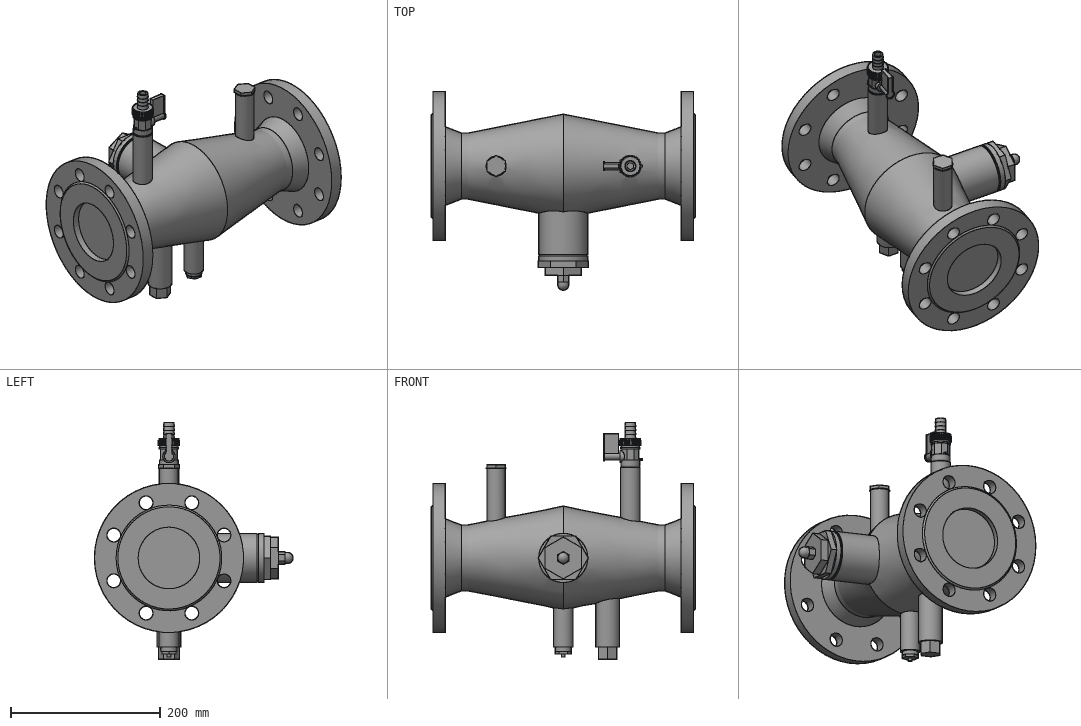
import cadquery as cq
import math

hex_half_step = 180 / 6
octagon_half_step = 180 / 8

half_length = 177.0
flange_diameter = 200.0
flange_back = 158.0
raised_face_height = 2.0
raised_face_base_diameter = 141.5
raised_face_diameter = 137.0
neck_diameter = 105.5
pipe_diameter = 89.0
neck_end = 136.5
shell_end = 127.5
shell_diameter = 139.5
bore_diameter = 82.5
bore_depth = 9.2
bolt_count = 8
bolt_circle_diameter = 160.0
bolt_hole_diameter = 18.0

bonnet_diameter = 66.0
bonnet_end = 118.2
bonnet_groove_diameter = 63.5
bonnet_groove_end = 120.5
bonnet_ring_end = 127.5
gland_corners = 67.3
gland_end = 136.0
cover_flats = 48.5
cover_end = 146.5
spindle_diameter = 15.0
spindle_hex_end = 155.5
part_depth = 266.5
spindle_tip = part_depth - flange_diameter / 2

plug_flats = 24.8
sensor_x = -90.0
sensor_diameter = 24.8
sensor_top = 120.0
sensor_washer_diameter = 27.0
sensor_washer_height = 0.7
sensor_plug_top = 125.0

nut_branch_x = 59.5
nut_branch_diameter = 32.2
branch_bottom = -119.5
part_bottom = -136.0

drain_diameter = 26.5
drain_collar_diameter = 22.0
drain_collar_fillet = 1.8
drain_collar_end = -125.3
drain_hex_end = -129.0
drain_pin_diameter = 5.3
drain_pin_end = -132.8

vent_x = 90.0
vent_diameter = 26.5
vent_base = 121.5
vent_foot_diameter = 25.5
vent_foot_fillet = 2.5
vent_body_base = 131.0
vent_body_flats = 22.5
vent_rim_base = 146.2
vent_rim_diameter = 26.2
vent_neck_diameter = 24.8
vent_rim_top = 148.5
knurl_base = 150.8
knurl_top = 160.0
knurl_step = 157.0
knurl_diameter = 29.0
knurl_crown_diameter = 27.3
knurl_count = 24
knurl_groove_width = 1.8
knurl_groove_depth = 1.5
part_height = 317.5
hose_top = part_bottom + part_height
hose_diameter = 15.0
hose_root_diameter = 13.5
hose_barb_count = 4
hose_bore_diameter = 9.0
hose_bore_depth = 7.0
stop_pin_diameter = 2.5
stop_pin_z = 132.0
stop_pin_end = 106.2

lever_axis_z = 136.0
lever_outer_x = 54.0
lever_inner_x = 74.5
lever_top = 166.7
lever_thickness = 5.5
lever_rod_diameter = 10.0
lever_cap_thickness = 1.5
lever_cap_width = 7.8
lever_cap_round_diameter = 12.5
lever_collar_x = 75.8
lever_collar_diameter = 16.5


def cylinder_z(x, diameter, start, end):
    return cq.Workplane("XY", origin=(x, 0, start)).circle(diameter / 2).extrude(end - start)


def cylinder_x(z, diameter, start, end):
    return cq.Workplane("YZ", origin=(start, 0, z)).circle(diameter / 2).extrude(end - start)


def cylinder_y(diameter, start, end):
    """Round bar between two distances along -Y."""
    return cq.Workplane("XZ", origin=(0, -start, 0)).circle(diameter / 2).extrude(end - start)


def corner_width(flats):
    return flats / math.cos(math.pi / 6)


def hexagon_z(x, flats, start, end, turn=0):
    """Hexagonal bar with corners on X, turned about its own axis."""
    bar = cq.Workplane("XY", origin=(0, 0, start)).polygon(6, corner_width(flats)).extrude(end - start)
    return bar.rotate((0, 0, 0), (0, 0, 1), turn).translate((x, 0, 0))


def hexagon_y(corners, start, end, turn=0):
    """Hexagonal bar along -Y with corners on X, turned about Y."""
    bar = cq.Workplane("XZ", origin=(0, -start, 0)).polygon(6, corners).extrude(end - start)
    return bar.rotate((0, 0, 0), (0, 1, 0), turn)


def make_main_run():
    face_step = half_length - raised_face_height
    right_half = [
        (0, shell_diameter / 2),
        (shell_end, pipe_diameter / 2),
        (neck_end, pipe_diameter / 2),
        (flange_back, neck_diameter / 2),
        (flange_back, flange_diameter / 2),
        (face_step, flange_diameter / 2),
        (face_step, raised_face_base_diameter / 2),
        (half_length, raised_face_diameter / 2),
        (half_length, bore_diameter / 2),
        (half_length - bore_depth, bore_diameter / 2),
        (half_length - bore_depth, 0),
    ]
    left_half = [(-x, r) for x, r in reversed(right_half[1:])]
    run = cq.Workplane("XY").polyline(left_half + right_half).close()
    run = run.revolve(360, (0, 0, 0), (1, 0, 0))
    bolt_holes = (
        cq.Workplane("YZ", origin=(-half_length, 0, 0))
        .polarArray(bolt_circle_diameter / 2, 180 / bolt_count, 360, bolt_count)
        .circle(bolt_hole_diameter / 2)
        .extrude(half_length - flange_back)
    )
    return run.cut(bolt_holes).cut(bolt_holes.mirror("YZ"))


def make_spindle():
    tip_centre = spindle_tip - spindle_diameter / 2
    return (
        cylinder_y(bonnet_diameter, 0, bonnet_end)
        .union(cylinder_y(bonnet_groove_diameter, bonnet_end, bonnet_groove_end))
        .union(cylinder_y(bonnet_diameter, bonnet_groove_end, bonnet_ring_end))
        .union(hexagon_y(gland_corners, bonnet_ring_end, gland_end))
        .union(hexagon_y(corner_width(cover_flats), gland_end, cover_end, hex_half_step))
        .union(hexagon_y(corner_width(spindle_diameter), cover_end, spindle_hex_end, hex_half_step))
        .union(cylinder_y(spindle_diameter, spindle_hex_end, tip_centre))
        .union(cq.Workplane("XY").sphere(spindle_diameter / 2).translate((0, -tip_centre, 0)))
    )


def make_sensor_branch():
    return (
        cylinder_z(sensor_x, sensor_diameter, 0, sensor_top)
        .union(cylinder_z(sensor_x, sensor_washer_diameter, sensor_top, sensor_top + sensor_washer_height))
        .union(hexagon_z(sensor_x, plug_flats, sensor_top, sensor_plug_top, hex_half_step))
    )


def make_nut_branch():
    tube = cylinder_z(nut_branch_x, nut_branch_diameter, branch_bottom, 0)
    return tube.union(hexagon_z(nut_branch_x, plug_flats, part_bottom, branch_bottom, hex_half_step))


def make_drain_branch():
    collar = cylinder_z(0, drain_collar_diameter, drain_collar_end, branch_bottom)
    collar = collar.faces(">Z").edges().fillet(drain_collar_fillet)
    hex_flats = drain_collar_diameter * math.cos(math.pi / 6)
    return (
        cylinder_z(0, drain_diameter, branch_bottom, 0)
        .union(collar)
        .union(hexagon_z(0, hex_flats, drain_hex_end, drain_collar_end))
        .union(cylinder_z(0, drain_pin_diameter, drain_pin_end, drain_hex_end))
    )


def make_hose_tail():
    """Barbs that widen downward from the open end, above a blind bore."""
    barb_height = (hose_top - knurl_top) / hose_barb_count
    outline = [(0, knurl_top)]
    for barb in range(hose_barb_count):
        barb_base = knurl_top + barb * barb_height
        outline.append((hose_diameter / 2, barb_base))
        outline.append((hose_root_diameter / 2, barb_base + barb_height))
    outline.append((0, hose_top))
    tail = cq.Workplane("XZ").polyline(outline).close().revolve(360, (0, 0, 0), (0, 1, 0))
    bore = cylinder_z(0, hose_bore_diameter, hose_top - hose_bore_depth, hose_top)
    return tail.cut(bore).translate((vent_x, 0, 0))


def make_knurled_ring():
    height = knurl_top - knurl_base
    ring = cylinder_z(0, knurl_diameter, knurl_base, knurl_step)
    ring = ring.union(cylinder_z(0, knurl_crown_diameter, knurl_step, knurl_top))
    grooves = (
        cq.Workplane("XY", origin=(0, 0, knurl_base))
        .polarArray(knurl_diameter / 2, 0, 360, knurl_count)
        .rect(2 * knurl_groove_depth, knurl_groove_width)
        .extrude(height)
    )
    return ring.cut(grooves).translate((vent_x, 0, 0))


def make_vent_body():
    body_corners = vent_body_flats / math.cos(math.pi / 8)
    body = cq.Workplane("XY", origin=(0, 0, vent_body_base)).polygon(8, body_corners)
    body = body.extrude(vent_rim_base - vent_body_base).rotate((0, 0, 0), (0, 0, 1), octagon_half_step)
    foot = cylinder_z(vent_x, vent_foot_diameter, vent_base, vent_body_base)
    foot = foot.faces("<Z").edges().fillet(vent_foot_fillet)
    return (
        cylinder_z(vent_x, vent_diameter, 0, vent_base)
        .union(foot)
        .union(body.translate((vent_x, 0, 0)))
        .union(cylinder_z(vent_x, vent_rim_diameter, vent_rim_base, vent_rim_top))
        .union(cylinder_z(vent_x, vent_neck_diameter, vent_rim_top, knurl_base))
        .union(cylinder_x(stop_pin_z, stop_pin_diameter, vent_x, stop_pin_end))
    )


def make_lever():
    plate_height = lever_top - lever_axis_z
    cap_end = lever_outer_x + lever_cap_thickness

    def upright(width, start, end):
        block = cq.Workplane("XY").box(end - start, width, plate_height, centered=(False, True, False))
        return block.translate((start, 0, lever_axis_z))

    return (
        upright(lever_thickness, lever_outer_x, lever_inner_x)
        .union(upright(lever_cap_width, lever_outer_x, cap_end))
        .union(cylinder_x(lever_axis_z, lever_cap_round_diameter, lever_outer_x, cap_end))
        .union(cylinder_x(lever_axis_z, lever_rod_diameter, lever_outer_x, vent_x))
        .union(cylinder_x(lever_axis_z, lever_collar_diameter, lever_collar_x, vent_x))
    )


result = (
    make_main_run()
    .union(make_spindle())
    .union(make_sensor_branch())
    .union(make_nut_branch())
    .union(make_drain_branch())
    .union(make_vent_body())
    .union(make_knurled_ring())
    .union(make_hose_tail())
    .union(make_lever())
)